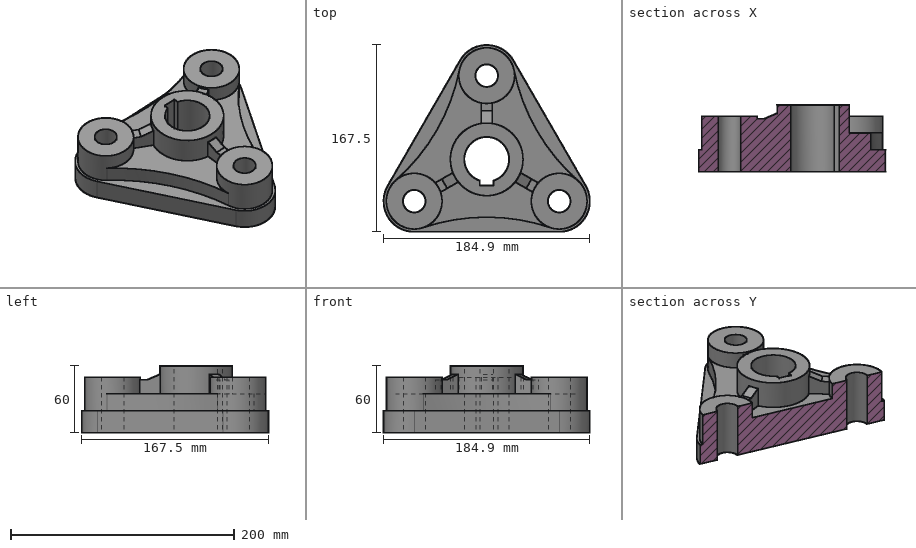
import cadquery as cq
import math

overall_width = 184.9
corner_radius = 27.5
pitch_radius = (overall_width - 2 * corner_radius) / math.sqrt(3)
lobe_angles = (90, 210, 330)

base_height = 20.0
step_height = 35.0
boss_height = 50.0
hub_height = 60.0

boss_diameter = 50.0
bolt_hole_diameter = 20.0
hub_diameter = 65.0
bore_diameter = 40.0

side_arc_radius = 177.5

key_width = 12.0
key_depth_from_axis = 23.3

rib_width = 9.6
rib_hub_height = 52.5
rib_low_height = 47.7
rib_slope_end = 43.6


def polar(radius, degrees):
    angle = math.radians(degrees)
    return (radius * math.cos(angle), radius * math.sin(angle))


lobe_centers = [polar(pitch_radius, angle) for angle in lobe_angles]


def make_base():
    """Triangular slab with its corners rounded about the bolt holes."""
    triangle = cq.Workplane("XY").polyline(lobe_centers).close()
    return triangle.offset2D(corner_radius).extrude(base_height)


def make_step():
    """Raised triangle whose sides are arcs tangent to neighbouring bosses."""
    boss_radius = boss_diameter / 2
    half_spacing = pitch_radius * math.sin(math.radians(60))
    side_distance = pitch_radius * math.cos(math.radians(60))
    center_distance = side_arc_radius + boss_radius
    arc_offset = math.sqrt(center_distance**2 - half_spacing**2)
    arc_middle = side_distance + arc_offset - side_arc_radius
    tangent_x = half_spacing * side_arc_radius / center_distance
    tangent_y = side_distance + boss_radius * arc_offset / center_distance
    tangent_radius = math.hypot(tangent_x, tangent_y)
    half_sweep = math.degrees(math.atan2(tangent_x, tangent_y))

    outline = cq.Workplane("XY").moveTo(*polar(tangent_radius, lobe_angles[0] + 60 - half_sweep))
    for angle in lobe_angles:
        side_angle = angle + 60
        next_lobe = angle + 120
        outline = outline.threePointArc(
            polar(arc_middle, side_angle),
            polar(tangent_radius, side_angle + half_sweep),
        )
        outline = outline.threePointArc(
            polar(pitch_radius + boss_radius, next_lobe),
            polar(tangent_radius, next_lobe + 60 - half_sweep),
        )
    return outline.close().extrude(step_height)


def make_rib():
    """Rib along +X, sloping down from the hub and then running level to a boss."""
    inner = (hub_diameter + bore_diameter) / 4
    slope_start = hub_diameter / 2
    profile = [
        (inner, base_height),
        (inner, rib_hub_height),
        (slope_start, rib_hub_height),
        (rib_slope_end, rib_low_height),
        (pitch_radius - bolt_hole_diameter, rib_low_height),
        (pitch_radius - bolt_hole_diameter, base_height),
    ]
    return cq.Workplane("XZ").polyline(profile).close().extrude(rib_width / 2, both=True)


bosses = cq.Workplane("XY").pushPoints(lobe_centers).circle(boss_diameter / 2).extrude(boss_height)
hub = cq.Workplane("XY").circle(hub_diameter / 2).extrude(hub_height)
body = make_base().union(make_step()).union(bosses).union(hub)
for lobe_angle in lobe_angles:
    body = body.union(make_rib().rotate((0, 0, 0), (0, 0, 1), lobe_angle))

bolt_holes = cq.Workplane("XY").pushPoints(lobe_centers).circle(bolt_hole_diameter / 2).extrude(hub_height)
bore = cq.Workplane("XY").circle(bore_diameter / 2).extrude(hub_height)
keyway = (
    cq.Workplane("XY")
    .center(0, -key_depth_from_axis / 2)
    .rect(key_width, key_depth_from_axis)
    .extrude(hub_height)
)
result = body.cut(bolt_holes).cut(bore).cut(keyway)